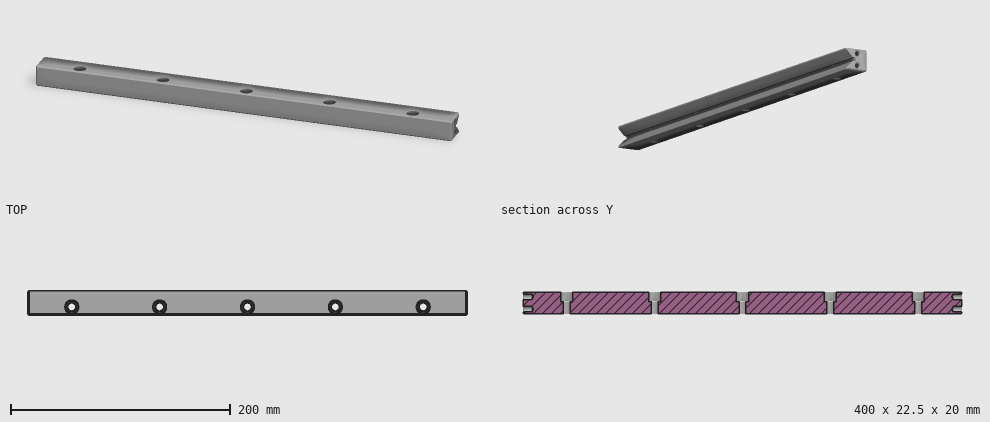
import cadquery as cq

length = 400.0
width = 22.5
height = 20.0
edge_chamfer = 1.0

lip_thickness = 1.0
relief_width = 3.5
relief_floor_depth = 9.5
groove_half_opening = height / 2 - lip_thickness
vee_depth = groove_half_opening - relief_width / 2

mount_count = 5
mount_pitch = length / mount_count
mount_from_back = 7.5
mount_diameter = 7.5
counterbore_diameter = 11.5
counterbore_depth = 9.0
counterbore_chamfer = 0.5

end_hole_diameter = 4.5
end_hole_mouth_diameter = 7.0
end_hole_depth = 8.0
drill_point_depth = 1.0
end_hole_from_back = 10.0
end_hole_from_edge = 4.5


def rail_body():
    """Block with chamfered back edges and chamfered end faces."""
    block = cq.Workplane("XY").box(length, width, height, centered=(True, False, True))
    block = block.faces("<Y").edges("|X").chamfer(edge_chamfer)
    return block.faces("<X or >X").chamfer(edge_chamfer)


def groove():
    """Full-length vee with a square relief slot, drawn in the YZ plane."""
    vee_bottom = width - vee_depth
    relief_floor = width - relief_floor_depth
    half_relief = relief_width / 2
    return (
        cq.Workplane("YZ", origin=(-length / 2, 0, 0))
        .moveTo(width, groove_half_opening)
        .lineTo(vee_bottom, half_relief)
        .lineTo(relief_floor, half_relief)
        .lineTo(relief_floor, -half_relief)
        .lineTo(vee_bottom, -half_relief)
        .lineTo(width, -groove_half_opening)
        .close()
        .extrude(length)
    )


def mounting_hole():
    """Revolved cutter for one through hole with a chamfered counterbore, centred on the Z axis."""
    bore_radius = mount_diameter / 2
    counterbore_radius = counterbore_diameter / 2
    top = height / 2
    shoulder = top - counterbore_depth
    return (
        cq.Workplane("XZ")
        .moveTo(0, -top)
        .lineTo(bore_radius, -top)
        .lineTo(bore_radius, shoulder)
        .lineTo(counterbore_radius, shoulder)
        .lineTo(counterbore_radius, top - counterbore_chamfer)
        .lineTo(counterbore_radius + counterbore_chamfer, top)
        .lineTo(0, top)
        .close()
        .revolve()
    )


def end_hole(end, side):
    """Countersunk blind hole with a drill point; end is -1 or 1 along X, side is -1 or 1 along Z."""
    center = cq.Vector(end * length / 2, end_hole_from_back, side * (height / 2 - end_hole_from_edge))
    inward = cq.Vector(-end, 0, 0)
    mouth_radius = end_hole_mouth_diameter / 2
    hole_radius = end_hole_diameter / 2
    bore = cq.Solid.makeCylinder(hole_radius, end_hole_depth, center, inward)
    mouth = cq.Solid.makeCone(mouth_radius, hole_radius, mouth_radius - hole_radius, center, inward)
    bore_bottom = center + inward * end_hole_depth
    drill_point = cq.Solid.makeCone(hole_radius, 0, drill_point_depth, bore_bottom, inward)
    return bore.fuse(mouth, drill_point)


result = rail_body().cut(groove())
for index in range(mount_count):
    mount_x = (index + 0.5) * mount_pitch - length / 2
    result = result.cut(mounting_hole().translate((mount_x, mount_from_back, 0)))
for end in (-1, 1):
    for side in (-1, 1):
        result = result.cut(end_hole(end, side))